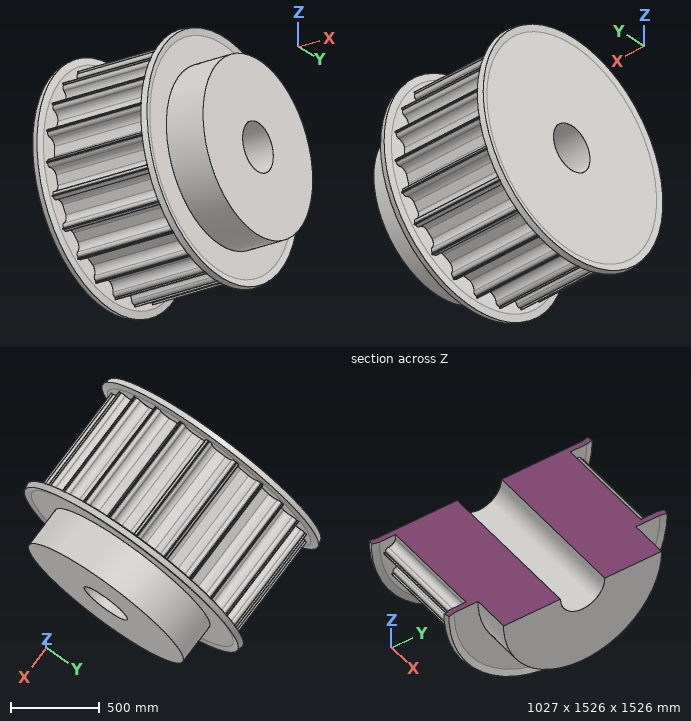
import cadquery as cq
import math

total_length = 1027.0
flange_radius = 763.0
hub_radius = 546.0
bore_radius = 153.0

pulley_width = 786.0
sheet_thickness = 38.0
rim_angle = math.radians(14)
rim_bend_radius = 711.0

tooth_count = 22
tooth_tip_radius = 693.0
groove_floor_distance = 605.0
groove_floor_width = 61.0
groove_neck_distance = 653.0
groove_neck_width = 139.0
tooth_shoulder_distance = 675.0
groove_mouth_width = 177.0
tip_ridge_width = 3.0

half_pitch_angle = math.pi / tooth_count
outer_edge_radius = flange_radius - sheet_thickness * math.sin(rim_angle)
rim_outward_reach = (outer_edge_radius - rim_bend_radius) * math.tan(rim_angle)
inner_face = rim_outward_reach + sheet_thickness


def cylinder(radius, start, end):
    """Solid cylinder on the X axis from X = start to X = end."""
    return cq.Workplane("YZ").workplane(offset=start).circle(radius).extrude(end - start)


def flange():
    """Left flange: a disc with a conical rim of constant thickness that leans towards -X."""
    tip_x = sheet_thickness * math.cos(rim_angle)
    inner_bend_radius = flange_radius - (inner_face - tip_x) / math.tan(rim_angle)
    profile = [
        (rim_outward_reach, 0),
        (rim_outward_reach, rim_bend_radius),
        (0, outer_edge_radius),
        (tip_x, flange_radius),
        (inner_face, inner_bend_radius),
        (inner_face, 0),
    ]
    return cq.Workplane("XY").polyline(profile).close().revolve(360, (0, 0, 0), (1, 0, 0))


def flank_radius(neck, end):
    """Radius of the flank arc from neck to end that runs parallel to the gap's centre line at the neck."""
    rise = end[0] - neck[0]
    run = end[1] - neck[1]
    return (rise**2 + run**2) / (2 * abs(run))


def groove_cutter():
    """One tooth gap, centred on the +Y direction, running the full belt width.

    A flat floor leads through a hollow root arc and a rounded tooth corner to a flat shoulder.
    The shoulders of neighbouring gaps leave a thin ridge along each tooth tip.
    """
    floor_end = (groove_floor_distance, groove_floor_width / 2)
    neck = (groove_neck_distance, groove_neck_width / 2)
    mouth = (tooth_shoulder_distance, groove_mouth_width / 2)
    ridge_side = tooth_shoulder_distance * math.tan(half_pitch_angle) - tip_ridge_width / 2
    half = (
        cq.Workplane("YZ")
        .workplane(offset=inner_face)
        .moveTo(groove_floor_distance, 0)
        .lineTo(*floor_end)
        .radiusArc(neck, flank_radius(neck, floor_end))
        .radiusArc(mouth, -flank_radius(neck, mouth))
        .lineTo(tooth_shoulder_distance, ridge_side)
        .lineTo(flange_radius, ridge_side)
        .lineTo(flange_radius, 0)
        .close()
        .extrude(pulley_width - 2 * inner_face)
    )
    return half.union(half.mirror("XY")).clean()


def toothed_rim():
    """Cylinder between the flanges with evenly spaced tooth gaps."""
    rim = cylinder(tooth_tip_radius, inner_face, pulley_width - inner_face)
    cutter = groove_cutter()
    for index in range(tooth_count):
        rim = rim.cut(cutter.rotate((0, 0, 0), (1, 0, 0), index * 360 / tooth_count))
    return rim


left_flange = flange()
right_flange = left_flange.mirror("YZ").translate((pulley_width, 0, 0))
hub = cylinder(hub_radius, pulley_width - inner_face, total_length)
bore = cylinder(bore_radius, 0, total_length)

result = toothed_rim().union(left_flange).union(right_flange).union(hub).cut(bore)